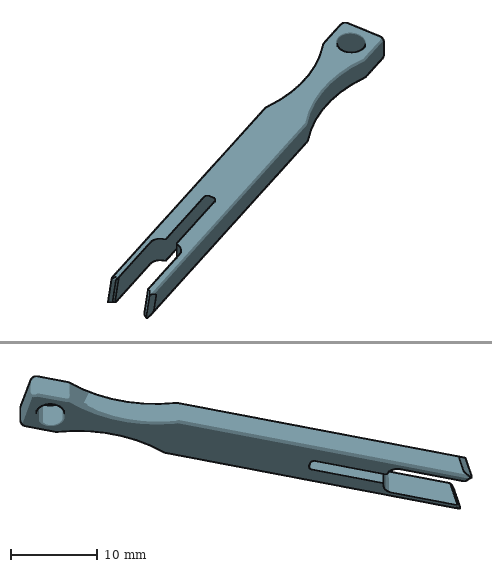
import cadquery as cq
import math

width = 5.9
thickness = 3.39
length = 52.84
half_width = width / 2

edge_radius = 0.77

waist_start = 4.5
waist_end = 17.4
waist_width = 3.15

hole_diameter = 3.25
hole_from_head = 3.0
hole_rim_radius = 0.3

slot_width = 1.45
slot_start = 34.1
slot_corner_radius = 0.48
flare_start = 43.15
flare_radius = 1.3
flare_corner_radius = 0.22
gap_width = 3.94

tip_lean_angle = 15.0
ridge_inset = 0.35
outer_bevel_length = 1.02
inner_bevel_width = 0.45
inner_bevel_length = 0.3
wall_bevel_length = 0.3
tip_round_radius = 0.38


def make_body():
    """Bar with a waisted grip, all of its outer edges rounded."""
    waist_middle = (waist_start + waist_end) / 2
    half_waist = waist_width / 2
    uncut_end = length + edge_radius
    outline = (
        cq.Workplane("XY")
        .moveTo(-half_width, 0)
        .lineTo(half_width, 0)
        .lineTo(half_width, -waist_start)
        .threePointArc((half_waist, -waist_middle), (half_width, -waist_end))
        .lineTo(half_width, -uncut_end)
        .lineTo(-half_width, -uncut_end)
        .lineTo(-half_width, -waist_end)
        .threePointArc((-half_waist, -waist_middle), (-half_width, -waist_start))
        .close()
    )
    bar = outline.extrude(thickness)
    head_and_waist = cq.selectors.BoxSelector(
        (-width, -waist_end - edge_radius, 0), (width, edge_radius, thickness)
    )
    bar = bar.edges("|Z").edges(head_and_waist).fillet(edge_radius)
    return bar.faces("<Z or >Z").edges("not <Y").fillet(edge_radius)


def cut_hole(body):
    """Key-ring hole with both rims rounded."""
    drill = (
        cq.Workplane("XY")
        .center(0, -hole_from_head)
        .circle(hole_diameter / 2)
        .extrude(thickness)
    )
    rim_selector = cq.selectors.BoxSelector(
        (-hole_diameter, -hole_from_head - hole_diameter, -thickness),
        (hole_diameter, -hole_from_head + hole_diameter, 2 * thickness),
    )
    return body.cut(drill).edges("%CIRCLE").edges(rim_selector).fillet(hole_rim_radius)


def cut_fork(body):
    """Slot and flared gap that split the bar into two prongs."""
    half_slot = slot_width / 2
    half_gap = gap_width / 2
    flare_center_x = half_gap - flare_radius
    flare_end = flare_start + math.sqrt(flare_radius**2 - (half_slot - flare_center_x)**2)
    flare_middle_x = flare_center_x + flare_radius * math.sqrt(0.5)
    flare_middle = flare_end - flare_radius * math.sqrt(0.5)
    open_end = length + 2 * edge_radius
    slot = (
        cq.Workplane("XY")
        .rect(slot_width, 2 * (open_end - slot_start))
        .extrude(thickness)
        .translate((0, -open_end, 0))
        .edges("|Z and >Y")
        .fillet(slot_corner_radius)
    )
    gap = (
        cq.Workplane("XY")
        .moveTo(-half_slot, -flare_start)
        .lineTo(half_slot, -flare_start)
        .threePointArc((flare_middle_x, -flare_middle), (half_gap, -flare_end))
        .lineTo(half_gap, -open_end)
        .lineTo(-half_gap, -open_end)
        .lineTo(-half_gap, -flare_end)
        .threePointArc((-flare_middle_x, -flare_middle), (-half_slot, -flare_start))
        .close()
        .extrude(thickness)
    )
    body = body.cut(slot).cut(gap)
    slot_mouth = cq.selectors.BoxSelector(
        (-slot_width, -flare_start - slot_width, 0), (slot_width, -flare_start + slot_width, thickness)
    )
    return body.edges("|Z").edges(slot_mouth).fillet(flare_corner_radius)


def leaning_cutter(corners, lean):
    """Prism on a polygon of (x, distance from head) corners, leaning toward the head as it rises."""
    base = cq.Wire.makePolygon([cq.Vector(x, -distance, 0) for x, distance in corners], close=True)
    rise = cq.Vector(0, thickness * lean, thickness)
    return cq.Workplane(cq.Solid.extrudeLinear(base, [], rise))


def sweep_side_profile(profile, start_x, sweep):
    """Prism of a profile in the YZ plane, placed at start_x and swept along a vector."""
    wire = profile.translate((start_x, 0, 0)).wires().val()
    return cq.Workplane(cq.Solid.extrudeLinear(wire, [], sweep))


def cut_tips(body):
    """Shape both prong ends into leaning ridges."""
    angle = math.radians(tip_lean_angle)
    lean = math.tan(angle)
    ridge = length + tip_round_radius * (lean + 1 / math.cos(angle) - 1)
    ridge_x = half_width - ridge_inset
    half_gap = gap_width / 2
    wall_bevel_x = ridge_x - inner_bevel_width
    wall_bevel_start = ridge - inner_bevel_length
    beyond = length + thickness
    root = length - thickness

    slope = inner_bevel_length / inner_bevel_width
    sweep_width = half_width
    sweep_start_x = half_width + edge_radius
    foot = ridge + (sweep_start_x - ridge_x) * slope
    end_face = (
        cq.Workplane("YZ")
        .polyline([
            (-root, 0),
            (-foot, 0),
            (-foot + thickness * lean, thickness),
            (-root, thickness),
        ])
        .close()
    )
    block = (
        cq.Workplane("YZ")
        .polyline([(-root, 0), (-beyond, 0), (-beyond, thickness), (-root, thickness)])
        .close()
    )
    for side in (-1, 1):
        sweep = cq.Vector(-side * sweep_width, sweep_width * slope, 0)
        kept = sweep_side_profile(end_face, side * sweep_start_x, sweep)
        kept = kept.faces("<Y").edges("<Z or >Z").fillet(tip_round_radius)
        end_cutter = sweep_side_profile(block, side * sweep_start_x, sweep).cut(kept)
        outer_cutter = leaning_cutter([
            (side * half_width, ridge - outer_bevel_length),
            (side * ridge_x, ridge),
            (side * ridge_x, beyond),
            (side * half_width, beyond),
        ], lean)
        wall_cutter = leaning_cutter([
            (side * wall_bevel_x, wall_bevel_start),
            (side * half_gap, wall_bevel_start - wall_bevel_length),
            (side * half_gap, beyond),
            (side * wall_bevel_x, beyond),
        ], lean)
        body = body.cut(end_cutter).cut(outer_cutter).cut(wall_cutter)
    return body


result = cut_tips(cut_fork(cut_hole(make_body())))